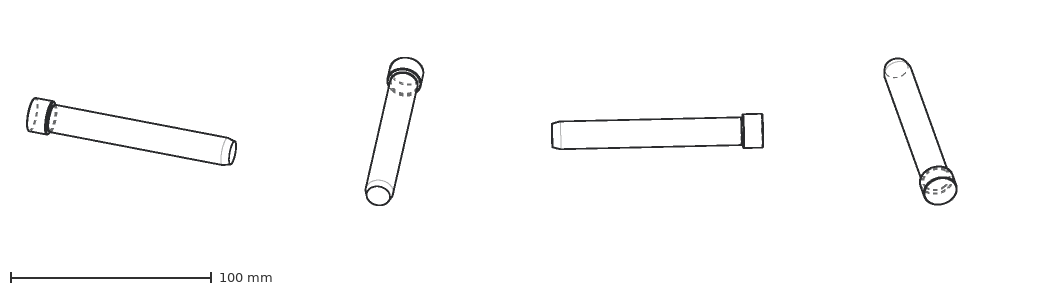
import cadquery as cq
import math

total_length = 105.0
head_diameter = 17.0
head_length = 10.0
head_chamfer = 0.4
shank_diameter = 14.0
neck_diameter = 13.1
neck_width = 0.8
tip_length = 4.0
tip_half_angle = 15.0

head_radius = head_diameter / 2
shank_radius = shank_diameter / 2
neck_radius = neck_diameter / 2
neck_end = head_length + neck_width
tip_start = total_length - tip_length
tip_radius = shank_radius - tip_length * math.tan(math.radians(tip_half_angle))

half_section = (
    cq.Workplane("XY")
    .moveTo(0, 0)
    .lineTo(0, head_radius - head_chamfer)
    .lineTo(head_chamfer, head_radius)
    .lineTo(head_length - head_chamfer, head_radius)
    .lineTo(head_length, head_radius - head_chamfer)
    .lineTo(head_length, neck_radius)
    .lineTo(neck_end, neck_radius)
    .lineTo(neck_end, shank_radius)
    .lineTo(tip_start, shank_radius)
    .lineTo(total_length, tip_radius)
    .lineTo(total_length, 0)
    .close()
)

result = half_section.revolve(360, (0, 0, 0), (1, 0, 0))